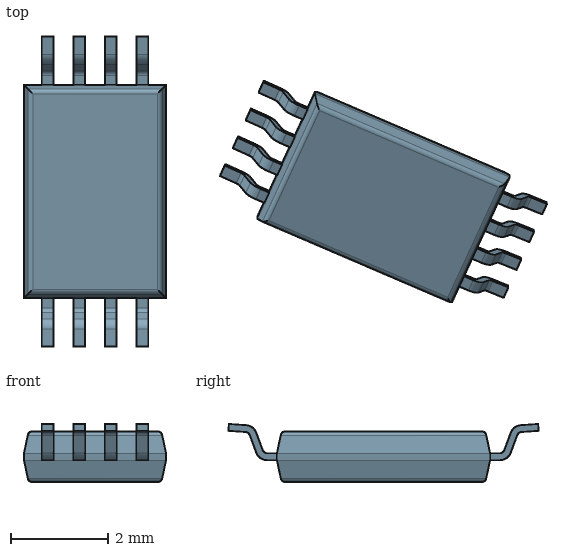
import cadquery as cq
import math

OVERALL_LENGTH = 6.4
OVERALL_HEIGHT = 1.2

LEADS_PER_SIDE = 4
LEAD_ROW_SPAN = 1.95
LEAD_WIDTH = 0.24
LEAD_THICKNESS = 0.15
INNER_BEND_RADIUS = 0.095
SHANK_LENGTH = 0.2
SLANT_ANGLE = 69.5
FOOT_TILT = 4.0

HOUSING_WIDTH = 2.93
HOUSING_LENGTH = 4.4
HOUSING_HEIGHT = 1.05
DRAFT_ANGLE = 12.0
HOUSING_FILLET = 0.1

BAND_HEIGHT = LEAD_THICKNESS
TAPERED_HEIGHT = (HOUSING_HEIGHT - BAND_HEIGHT) / 2
BAND_TOP = TAPERED_HEIGHT + BAND_HEIGHT


def make_housing():
    """Housing with drafted walls, rounded around its top and bottom faces."""
    band = (
        cq.Workplane("XY", origin=(0, 0, TAPERED_HEIGHT))
        .rect(HOUSING_WIDTH, HOUSING_LENGTH)
        .extrude(BAND_HEIGHT)
    )
    upper_half = (
        cq.Workplane("XY", origin=(0, 0, BAND_TOP))
        .rect(HOUSING_WIDTH, HOUSING_LENGTH)
        .extrude(TAPERED_HEIGHT, taper=DRAFT_ANGLE)
    )
    lower_half = upper_half.mirror("XY", (0, 0, HOUSING_HEIGHT / 2))
    housing = band.union(upper_half).union(lower_half)
    return housing.faces("<Z or >Z").edges().fillet(HOUSING_FILLET)


def lead_centreline():
    """Path through the middle of a lead in the YZ plane, from housing to tip."""
    slant = math.radians(SLANT_ANGLE)
    tilt = math.radians(FOOT_TILT)
    half_thickness = LEAD_THICKNESS / 2
    bend_radius = INNER_BEND_RADIUS + half_thickness

    tip_y = OVERALL_LENGTH / 2 - half_thickness * math.sin(tilt)
    tip_z = OVERALL_HEIGHT - half_thickness * math.cos(tilt)

    start_y = HOUSING_LENGTH / 2
    start_z = HOUSING_HEIGHT / 2
    lower_bend_start_y = start_y + SHANK_LENGTH
    lower_bend_end_y = lower_bend_start_y + bend_radius * math.sin(slant)
    lower_bend_end_z = start_z + bend_radius * (1 - math.cos(slant))

    upper_bend_run = bend_radius * (math.sin(slant) - math.sin(tilt))
    upper_bend_rise = bend_radius * (math.cos(tilt) - math.cos(slant))
    run = tip_y - lower_bend_end_y - upper_bend_run
    rise = tip_z - lower_bend_end_z - upper_bend_rise
    slant_length = (rise * math.cos(tilt) - run * math.sin(tilt)) / math.sin(slant - tilt)

    upper_bend_start_y = lower_bend_end_y + slant_length * math.cos(slant)
    upper_bend_start_z = lower_bend_end_z + slant_length * math.sin(slant)
    upper_bend_end_y = upper_bend_start_y + upper_bend_run
    upper_bend_end_z = upper_bend_start_z + upper_bend_rise

    return (
        cq.Workplane("YZ")
        .moveTo(start_y, start_z)
        .lineTo(lower_bend_start_y, start_z)
        .tangentArcPoint((lower_bend_end_y, lower_bend_end_z), relative=False)
        .lineTo(upper_bend_start_y, upper_bend_start_z)
        .tangentArcPoint((upper_bend_end_y, upper_bend_end_z), relative=False)
        .lineTo(tip_y, tip_z)
    )


def make_lead():
    """One lead on the +Y side, centred on X = 0, butting against the band."""
    return (
        cq.Workplane("XZ", origin=(0, HOUSING_LENGTH / 2, HOUSING_HEIGHT / 2))
        .rect(LEAD_WIDTH, LEAD_THICKNESS)
        .sweep(lead_centreline())
    )


def make_leads():
    """A row of leads along each end of the housing, mirrored about Y = 0."""
    back_lead = make_lead()
    front_lead = back_lead.mirror("XZ")
    pitch = LEAD_ROW_SPAN / (LEADS_PER_SIDE - 1)
    leads = []
    for index in range(LEADS_PER_SIDE):
        x = -LEAD_ROW_SPAN / 2 + index * pitch
        for lead in (back_lead, front_lead):
            leads.append(lead.translate((x, 0, 0)).val())
    return leads


housing = make_housing()
leads = make_leads()

result = cq.Compound.makeCompound([housing.val(), *leads])